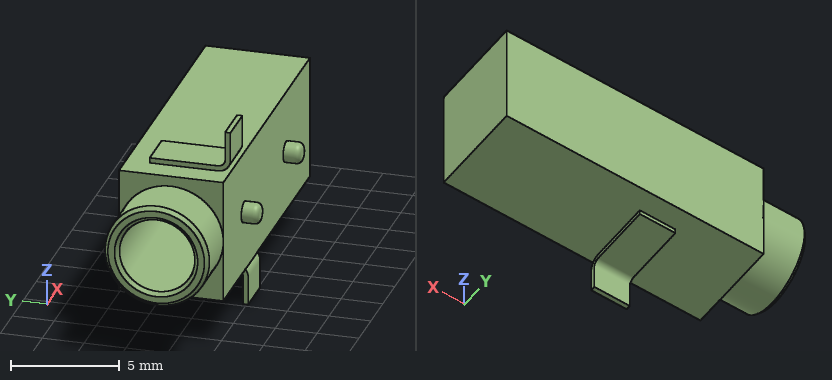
import cadquery as cq


total_length = 17.0
barrel_length = 2.5
barrel_diameter = 5.0
block_length = total_length - barrel_length
block_depth = barrel_diameter
block_height = 5.98
bore_diameter = 3.6
bore_depth = 14.0
rim_chamfer = 0.19

peg_diameter = 1.0
peg_length = 0.8
peg_edge_radius = 0.25
first_peg_x = 6.0
peg_spacing = 7.0

terminal_thickness = 0.25
terminal_width = 2.0
terminal_rise = 1.99
terminal_back_gap = 1.14
bend_outer_radius = 0.6
bend_inner_radius = bend_outer_radius - terminal_thickness
upper_terminal_x = 3.69
lower_terminal_x = 6.66

mounting_face_y = -block_depth / 2
block_top_z = block_height / 2


def make_housing():
    block = cq.Workplane("XY").box(
        block_length, block_depth, block_height, centered=(False, True, True)
    ).translate((barrel_length, 0, 0))
    barrel = (
        cq.Workplane("YZ")
        .circle(barrel_diameter / 2)
        .extrude(barrel_length)
        .faces("<X")
        .chamfer(rim_chamfer)
    )
    housing = block.union(barrel).cut(make_bore())
    for peg_x in (first_peg_x, first_peg_x + peg_spacing):
        housing = housing.union(make_peg(peg_x))
    return housing


def make_bore():
    """Blind plug hole with a flared mouth."""
    bore_radius = bore_diameter / 2
    return (
        cq.Workplane("XY")
        .lineTo(0, bore_radius + rim_chamfer)
        .lineTo(rim_chamfer, bore_radius)
        .lineTo(bore_depth, bore_radius)
        .lineTo(bore_depth, 0)
        .close()
        .revolve(360, (0, 0, 0), (1, 0, 0))
    )


def make_peg(peg_x):
    """Round-ended peg standing on the mounting face."""
    return (
        cq.Workplane("XZ", origin=(peg_x, mounting_face_y, 0))
        .circle(peg_diameter / 2)
        .extrude(peg_length)
        .faces("<Y")
        .edges()
        .fillet(peg_edge_radius)
    )


def make_upper_terminal(start_x):
    """L-shaped strip lying on the block top, bent up at the mounting face."""
    back_y = block_depth / 2 - terminal_back_gap
    strip_length = back_y - mounting_face_y
    flat_length = strip_length - terminal_thickness
    leg_length = terminal_rise - terminal_thickness
    return (
        cq.Workplane("YZ", origin=(start_x, mounting_face_y, block_top_z))
        .moveTo(strip_length, 0)
        .hLine(bend_outer_radius - strip_length)
        .radiusArc((0, bend_outer_radius), bend_outer_radius)
        .vLine(terminal_rise - bend_outer_radius)
        .hLine(terminal_thickness)
        .vLine(bend_inner_radius - leg_length)
        .radiusArc((bend_outer_radius, terminal_thickness), -bend_inner_radius)
        .hLine(flat_length - bend_inner_radius)
        .close()
        .extrude(terminal_width)
    )


housing = make_housing()
upper_terminal = make_upper_terminal(upper_terminal_x)
lower_terminal = make_upper_terminal(lower_terminal_x).mirror("XY")

result = cq.Compound.makeCompound(
    [housing.val(), upper_terminal.val(), lower_terminal.val()]
)